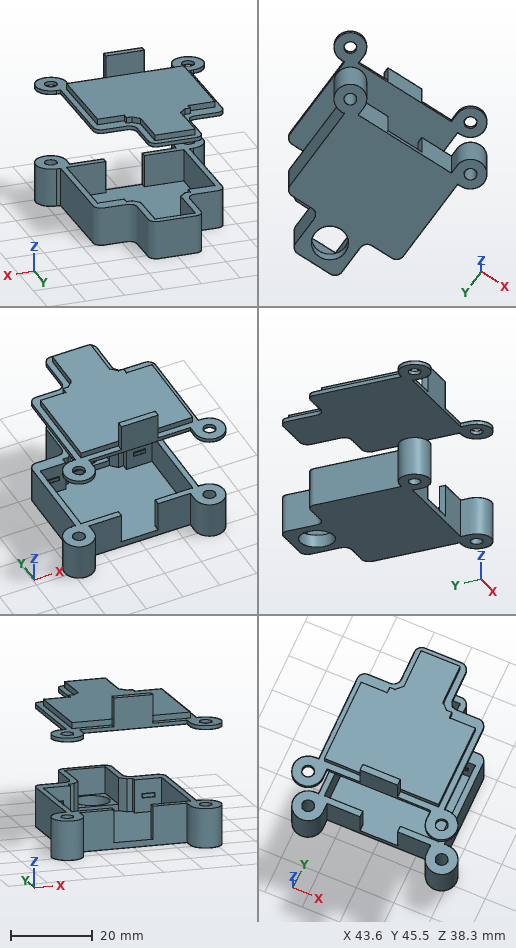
import cadquery as cq

body_width = 33.55
body_depth = 27.05
tongue_width = 13.7
total_depth = 39.1
corner_radius = 2.0
side_wall = 1.55
wall = 1.65

shoulder_wall = 3.2
relief_half_width = 8.3

boss_radius = 4.0
boss_spacing = 35.6
boss_setback = 2.4
screw_hole_diameter = 3.1

box_height = 10.0
tongue_floor = 2 * wall
cable_hole_diameter = 9.0
slot_width = 10.0

ridge_length = 3.2
ridge_height = 1.0
ridge_depth = 0.3
ridge_bottom = 5.35

lid_bottom = 30.05
plate_thickness = 1.0
plug_height = 1.5
tab_top = 38.3

half_body = body_width / 2
half_tongue = tongue_width / 2
inner_half_body = half_body - side_wall
inner_half_tongue = half_tongue - wall
inner_tongue_end = total_depth - wall
inner_shoulder = body_depth - shoulder_wall
relief_end = body_depth - wall


def mirrored_outline(right_half, bottom, height):
    """Extrude an outline given by its right half, from front to back, mirrored about X = 0."""
    left_half = [(-x, y) for x, y in reversed(right_half)]
    return cq.Workplane("XY").workplane(offset=bottom).polyline(right_half + left_half).close().extrude(height)


def screw_boss(bottom, height):
    """Right-hand screw boss, not yet drilled, with a square web from its inner half back to the front wall."""
    boss_x = boss_spacing / 2
    base = cq.Workplane("XY").workplane(offset=bottom).center(boss_x, -boss_setback)
    web_depth = boss_setback + wall
    web = cq.Workplane("XY").box(boss_radius, web_depth, height, centered=False)
    web = web.translate((boss_x - boss_radius, -boss_setback, bottom))
    return base.circle(boss_radius).extrude(height).union(web)


def footprint(bottom, height):
    """Outer shape shared by box and lid: rounded T with two drilled screw bosses at the front."""
    shape = mirrored_outline(
        [(half_body, 0), (half_body, body_depth), (half_tongue, body_depth), (half_tongue, total_depth)],
        bottom, height,
    )
    rounded_zone = cq.selectors.BoxSelector(
        (-body_width, wall, bottom), (body_width, 2 * total_depth, bottom + height))
    shape = shape.edges("|Z").edges(rounded_zone).fillet(corner_radius)

    boss = screw_boss(bottom, height)
    shape = shape.union(boss).union(boss.mirror("YZ"))

    hole_points = [(side * boss_spacing / 2, -boss_setback) for side in (-1, 1)]
    holes = cq.Workplane("XY").workplane(offset=bottom).pushPoints(hole_points)
    return shape.cut(holes.circle(screw_hole_diameter / 2).extrude(height))


def inner_shape(bottom, height):
    """Shape of the box cavity and of the lid plug that closes it."""
    return mirrored_outline(
        [
            (inner_half_body, wall),
            (inner_half_body, inner_shoulder),
            (relief_half_width, inner_shoulder),
            (relief_half_width, relief_end),
            (half_tongue, relief_end),
            (inner_half_tongue, body_depth),
            (inner_half_tongue, inner_tongue_end),
        ],
        bottom, height,
    )


def front_block(bottom, top):
    """Block as wide as the front slot and as thick as the front wall."""
    block = cq.Workplane("XY").box(slot_width, wall, top - bottom, centered=(True, False, False))
    return block.translate((0, 0, bottom))


def make_box():
    """Open box with a front slot, a raised tongue floor, a cable hole and two ridges."""
    box = footprint(0, box_height).cut(inner_shape(wall, box_height - wall))
    box = box.cut(front_block(wall, box_height))

    tongue_length = inner_tongue_end - body_depth
    step = cq.Workplane("XY").box(
        2 * inner_half_tongue, tongue_length, tongue_floor, centered=(True, False, False))
    box = box.union(step.translate((0, body_depth, 0)))
    cable_hole = cq.Workplane("XY").center(0, body_depth + tongue_length / 2).circle(cable_hole_diameter / 2)
    box = box.cut(cable_hole.extrude(tongue_floor))

    ridge_x = (inner_half_body + relief_half_width) / 2
    for side in (-1, 1):
        ridge = cq.Workplane("XY").box(
            ridge_length, ridge_depth + wall / 2, ridge_height, centered=(True, False, False))
        box = box.union(ridge.translate((side * ridge_x, inner_shoulder - ridge_depth, ridge_bottom)))
    return box


def make_lid():
    """Lid with its plug side up: cover plate, plug and the tab that fills the front slot."""
    plate_top = lid_bottom + plate_thickness
    lid = footprint(lid_bottom, plate_thickness)
    lid = lid.union(inner_shape(plate_top, plug_height))
    return lid.union(front_block(plate_top, tab_top))


box = make_box()
lid = make_lid()

result = cq.Compound.makeCompound([box.val(), lid.val()])